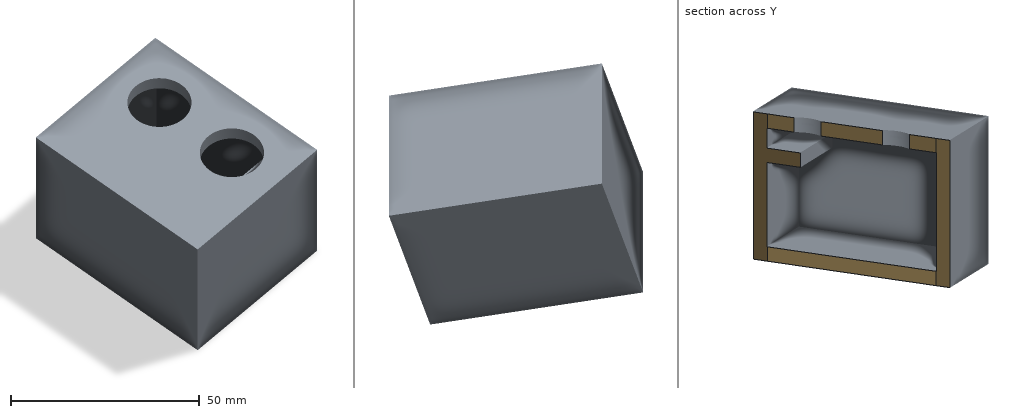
import cadquery as cq

LENGTH = 58.0
DEPTH = 47.0
HEIGHT = 41.0
OUTER_SIZE = (LENGTH, DEPTH, HEIGHT)

SHEET = 4.1
FINGER = 8.0
CORNER_LENGTH = 4.95

OPENING_DIAMETER = 17.0
OPENING_SPACING = 26.0
OPENING_FROM_BACK = 15.95

SHELF_WIDTH = 9.85
SHELF_BELOW_TOP = 9.5


def box_between(low, high):
    """Axis-aligned block between two opposite corners."""
    size = [b - a for a, b in zip(low, high)]
    return cq.Workplane("XY").box(*size, centered=False).translate(tuple(low))


def finger_starts(edge_length, count):
    """Start of each of `count` fingers, one finger width apart and centred on an edge."""
    first = edge_length / 2 - (count - 0.5) * FINGER
    return [first + 2 * i * FINGER for i in range(count)]


def finger_bands(axis, count, end_margin=0.0):
    """Bands through the whole box, one for each finger along the X (0), Y (1) or Z (2) axis.

    The outermost bands are trimmed to stay `end_margin` away from both ends of the box.
    """
    size = OUTER_SIZE[axis]
    bands = cq.Workplane("XY")
    for start in finger_starts(size, count):
        low = [0, 0, 0]
        high = list(OUTER_SIZE)
        low[axis] = max(start, end_margin)
        high[axis] = min(start + FINGER, size - end_margin)
        bands = bands.add(box_between(low, high))
    return bands.combine()


BANDS_X = finger_bands(0, 3, end_margin=SHEET + CORNER_LENGTH)
BANDS_Y = finger_bands(1, 2)
BANDS_Z = finger_bands(2, 2)


def flat_panel(z):
    """Lid or base: a plate between the end panels, with fingers into them and notches for the walls."""
    plate = box_between((0, 0, z), (LENGTH, DEPTH, z + SHEET))
    core = box_between((SHEET, 0, z), (LENGTH - SHEET, DEPTH, z + SHEET))
    inside_depth = box_between((0, SHEET, z), (LENGTH, DEPTH - SHEET, z + SHEET))
    wall_notches = plate.cut(inside_depth).intersect(BANDS_X)
    return core.cut(wall_notches).union(plate.intersect(BANDS_Y))


def make_base():
    return flat_panel(0)


def make_lid():
    """Upper panel with two round openings nearer the back."""
    opening_y = DEPTH - OPENING_FROM_BACK
    centres = [(LENGTH / 2 + side * OPENING_SPACING / 2, opening_y) for side in (-1, 1)]
    openings = cq.Workplane("XY").pushPoints(centres).circle(OPENING_DIAMETER / 2).extrude(HEIGHT)
    return flat_panel(HEIGHT - SHEET).cut(openings)


def make_wall(y):
    """Front or back panel: a plate inside the lid, base and end panels, with fingers into all four."""
    core = box_between((SHEET, y, SHEET), (LENGTH - SHEET, y + SHEET, HEIGHT - SHEET))
    plate = box_between((0, y, 0), (LENGTH, y + SHEET, HEIGHT))
    return core.union(plate.intersect(BANDS_X)).union(plate.intersect(BANDS_Z))


def make_end(x):
    """End panel: a full-size plate notched for the fingers of the lid, base and walls."""
    plate = box_between((x, 0, 0), (x + SHEET, DEPTH, HEIGHT))
    inside_height = box_between((x, 0, SHEET), (x + SHEET, DEPTH, HEIGHT - SHEET))
    inside_depth = box_between((x, SHEET, 0), (x + SHEET, DEPTH - SHEET, HEIGHT))
    lid_and_base_notches = plate.cut(inside_height).intersect(BANDS_Y)
    wall_notches = plate.cut(inside_depth).intersect(BANDS_Z)
    return plate.cut(lid_and_base_notches).cut(wall_notches)


def make_shelf_end():
    """The +X end panel with a shelf, one sheet thick, that runs from wall to wall inside the box."""
    inner_face = LENGTH - SHEET
    shelf_top = HEIGHT - SHELF_BELOW_TOP
    shelf = box_between(
        (inner_face - SHELF_WIDTH, SHEET, shelf_top - SHEET),
        (inner_face, DEPTH - SHEET, shelf_top),
    )
    return make_end(inner_face).union(shelf)


base = make_base()
lid = make_lid()
front_wall = make_wall(0)
back_wall = make_wall(DEPTH - SHEET)
plain_end = make_end(0)
shelf_end = make_shelf_end()

bodies = [base, lid, front_wall, back_wall, plain_end, shelf_end]
result = cq.Compound.makeCompound([body.solids().val() for body in bodies])